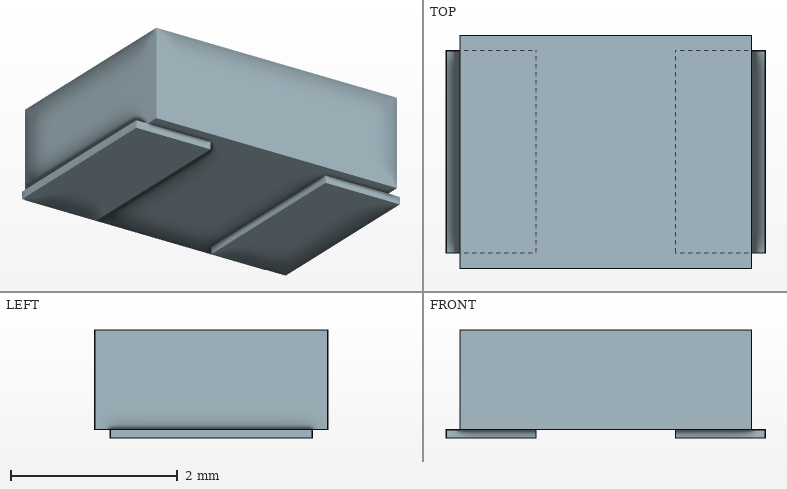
import cadquery as cq

overall_length = 3.83
overall_height = 1.3

body_length = 3.5
body_width = 2.8

pad_length = 1.08
pad_width = 2.43
pad_thickness = 0.1

body_height = overall_height - pad_thickness
pad_center_x = (overall_length - pad_length) / 2


def make_body():
    """Plain block resting on top of the pads."""
    return (
        cq.Workplane("XY")
        .workplane(offset=pad_thickness)
        .rect(body_length, body_width)
        .extrude(body_height)
    )


def make_pad(center_x):
    """Flat plate on the Z = 0 plane, centred across the width."""
    return (
        cq.Workplane("XY")
        .center(center_x, 0)
        .rect(pad_length, pad_width)
        .extrude(pad_thickness)
    )


body = make_body()
pads = [make_pad(side * pad_center_x) for side in (-1, 1)]

result = cq.Compound.makeCompound([body.val(), *[pad.val() for pad in pads]])